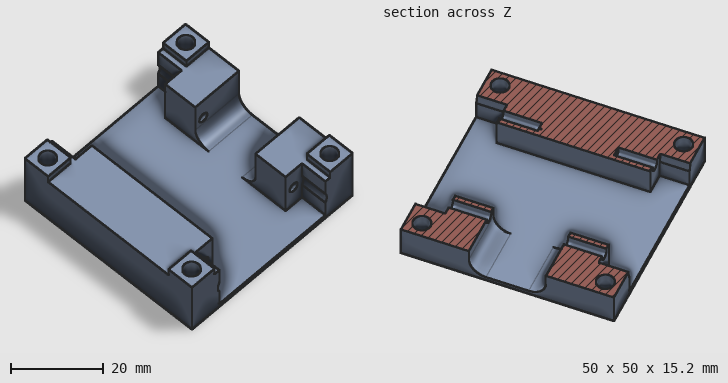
import cadquery as cq

side = 50.0
height = 15.2
floor_thickness = 1.0
half = side / 2

pad_size = 7.0
pad_height = 2.0
shoulder_height = height - pad_height
post_depth = 8.5
mount_hole_diameter = 4.0

block_depth = 13.6
block_end = half - pad_size
channel_width = 18.0
channel_fillet = 4.0

screw_diameter = 2.5
screw_inset = 11.1
screw_height = 7.1
screw_depth = 9.0
head_clearance_diameter = 6.1


def box_between(x_range, y_range, z_range):
    """Axis-aligned box given by its limits along each axis."""
    (x0, x1), (y0, y1), (z0, z1) = x_range, y_range, z_range
    return cq.Workplane("XY").box(x1 - x0, y1 - y0, z1 - z0, centered=False).translate((x0, y0, z0))


def x_cylinder(diameter, x_start, x_end, y):
    """Cylinder along X at the height of the screws."""
    return (
        cq.Workplane("YZ", origin=(x_start, y, screw_height))
        .circle(diameter / 2)
        .extrude(x_end - x_start)
    )


def edge_wall():
    """Wall along -Y: the long block, the shorter end posts and their raised pads."""
    wall_z = (0, shoulder_height)
    wall = box_between((-half, half), (-half, -half + post_depth), wall_z)
    wall = wall.union(box_between((-block_end, block_end), (-half, -half + block_depth), wall_z))
    for x0, x1 in ((-half, -block_end), (block_end, half)):
        wall = wall.union(box_between((x0, x1), (-half, -half + pad_size), (0, height)))
    return wall


def channel():
    """Opening through the middle of the +Y wall, with concave fillets where it meets the floor."""
    half_width = channel_width / 2
    opening = box_between(
        (-half_width, half_width), (half - block_depth, half), (floor_thickness, height)
    )
    return opening.edges("|Y and <Z").fillet(channel_fillet)


base = cq.Workplane("XY").box(side, side, floor_thickness, centered=(True, True, False))
front_wall = edge_wall()
back_wall = front_wall.mirror("XZ")
result = base.union(front_wall).union(back_wall).cut(channel())

screw_y = half - screw_inset
for y in (-screw_y, screw_y):
    result = result.cut(x_cylinder(screw_diameter, -block_end, -block_end + screw_depth, y))
    result = result.cut(x_cylinder(screw_diameter, block_end - screw_depth, block_end, y))
    result = result.cut(x_cylinder(head_clearance_diameter, -half, -block_end, y))
    result = result.cut(x_cylinder(head_clearance_diameter, block_end, half, y))

mount_spacing = side - pad_size
mount_holes = (
    cq.Workplane("XY")
    .rect(mount_spacing, mount_spacing, forConstruction=True)
    .vertices()
    .circle(mount_hole_diameter / 2)
    .extrude(height)
)
result = result.cut(mount_holes)